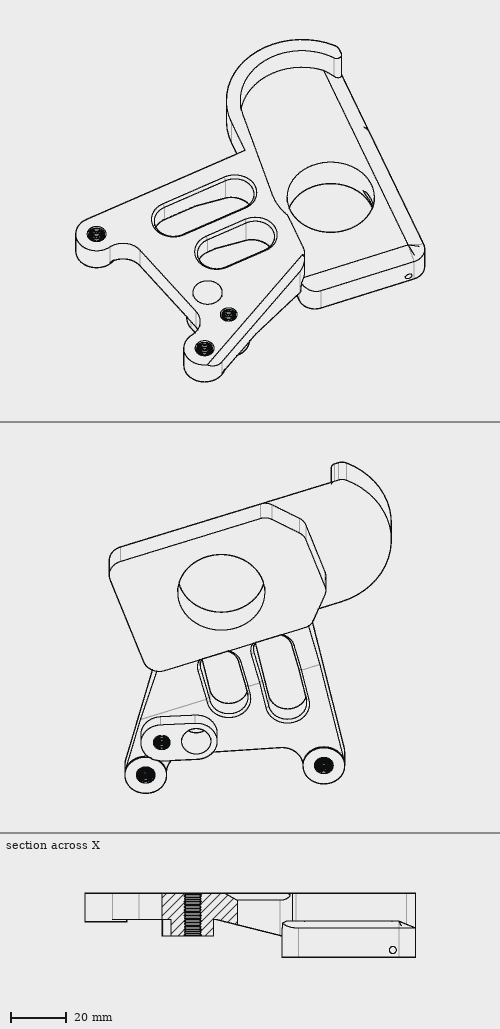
import cadquery as cq
import math

PLATE_DEPTH = 12.5
FLOOR_DEPTH = 10.0
BLOCK_DEPTH = 23.0
WEB_DEPTH = 9.5
PAD_DEPTH = 10.3
BOSS_DEPTH = 15.4

BODY_BACK = 24.1
BODY_FRONT = -23.8
BODY_RIGHT = 35.9
CORNER_RADIUS = 6.0
BORE_RADIUS = 15.6
BEVEL_START_X = BODY_RIGHT - CORNER_RADIUS
BEVEL_START_Y = BODY_BACK - CORNER_RADIUS

WALL_THICKNESS = 5.0
WALL_OUTER_RADIUS = 27.1
WALL_INNER_RADIUS = WALL_OUTER_RADIUS - WALL_THICKNESS
WALL_CENTER = (-37.2, BODY_FRONT + WALL_OUTER_RADIUS)
INNER_TIP_RADIUS = 1.8
OUTER_TIP_RADIUS = 3.8
BORE_RELIEF_RADIUS = 21.9

BLOCK_LEFT = -BODY_RIGHT
BLOCK_CUT_X = 10.1
BLOCK_CUT_Y = 11.8
BLOCK_CUT_RADIUS = 5.0
CROSS_HOLE_RADIUS = 1.3
CROSS_HOLE_Y = 16.0
CROSS_HOLE_DEPTH = 20.4
CROSS_HOLE_END_X = -7.5

ARM_ROOT = (-23.8, BODY_FRONT)
ARM_CORNER = (29.1, -20.0)
ARM_CORNER_RADIUS = 10.0
ARM_BEVEL = 2.5
SLOPE_END_Y = -47.3
PAD_RADIUS = 7.5
LEFT_PAD = (-8.3, -87.0)
RIGHT_PAD = (53.3, -69.3)
LEFT_BLEND_ANGLE = 18.0
RIGHT_BLEND_ANGLE = 196.0

SLOT_RADIUS = 6.9
SLOT_BEVEL = 1.0
SLOTS = [((-7.5, -34.0), 25.0), ((12.8, -34.0), 15.8)]

PLAIN_HOLE = (30.5, -59.3)
PLAIN_HOLE_RADIUS = 5.3
SMALL_THREAD = (42.4, -55.8)
SMALL_THREAD_RADIUS = 3.0
PAD_THREAD_RADIUS = 3.4
THREAD_HEIGHT = 0.5
THREAD_PITCH = 1.0

OVERSIZE = 125.1


def polar(center, radius, degrees):
    angle = math.radians(degrees)
    return (center[0] + radius * math.cos(angle), center[1] + radius * math.sin(angle))


def heading(start, end):
    return math.degrees(math.atan2(end[1] - start[1], end[0] - start[0]))


def touch_point(point, center, radius, side):
    """Where the line from a point touches a circle, on the left (1) or right (-1) seen from the centre."""
    spread = math.degrees(math.acos(radius / math.dist(point, center)))
    return polar(center, radius, heading(center, point) + side * spread)


def toward(center, radius, start, end):
    """Point of a circle in the middle of its shorter arc between two points."""
    middle = ((start[0] + end[0]) / 2, (start[1] + end[1]) / 2)
    return polar(center, radius, heading(center, middle))


def plan(depth):
    return cq.Workplane("XY").workplane(offset=-depth)


def cylinder(center, radius, top, bottom):
    return plan(bottom).center(*center).circle(radius).extrude(bottom - top)


def capsule(start, end, radius, top, bottom):
    """Upright prism covering a circle swept from start to end."""
    middle = ((start[0] + end[0]) / 2, (start[1] + end[1]) / 2)
    length = math.dist(start, end) + 2 * radius
    return (
        plan(bottom)
        .center(*middle)
        .slot2D(length, 2 * radius, heading(start, end))
        .extrude(bottom - top)
    )


left_touch = touch_point(ARM_ROOT, LEFT_PAD, PAD_RADIUS, 1)
right_touch = touch_point(ARM_CORNER, RIGHT_PAD, PAD_RADIUS, -1)
left_heading = heading(ARM_ROOT, left_touch)
right_heading = heading(ARM_CORNER, right_touch)


def tip_arc_center(radius, center_distance):
    """Centre of a tip rounding that touches the back face, at a given distance from the wall axis."""
    rise = BODY_BACK - radius - WALL_CENTER[1]
    return (WALL_CENTER[0] - math.sqrt(center_distance**2 - rise**2), BODY_BACK - radius)


def start_outline(depth):
    """Sketch along the outside of the wall, from its tip to where it runs into the front face."""
    tip_center = tip_arc_center(OUTER_TIP_RADIUS, WALL_OUTER_RADIUS - OUTER_TIP_RADIUS)
    tip_start = (tip_center[0], BODY_BACK)
    tip_end = polar(WALL_CENTER, WALL_OUTER_RADIUS, heading(WALL_CENTER, tip_center))
    wall_left = polar(WALL_CENTER, WALL_OUTER_RADIUS, 180)
    wall_front = polar(WALL_CENTER, WALL_OUTER_RADIUS, 270)
    return (
        plan(depth)
        .moveTo(*tip_start)
        .threePointArc(toward(tip_center, OUTER_TIP_RADIUS, tip_start, tip_end), tip_end)
        .threePointArc(wall_left, wall_front)
    )


def make_floor():
    outline = (
        start_outline(PLATE_DEPTH)
        .lineTo(BODY_RIGHT, BODY_FRONT)
        .lineTo(BODY_RIGHT, BODY_BACK)
        .close()
        .extrude(PLATE_DEPTH - FLOOR_DEPTH)
        .edges("|Z and >X")
        .edges("<Y")
        .fillet(CORNER_RADIUS)
    )
    back_bevel = (
        cq.Workplane("YZ", origin=(BEVEL_START_X, 0, 0))
        .moveTo(BODY_FRONT, -PLATE_DEPTH)
        .lineTo(BODY_BACK, -PLATE_DEPTH)
        .lineTo(BEVEL_START_Y, -FLOOR_DEPTH)
        .lineTo(BODY_FRONT, -FLOOR_DEPTH)
        .close()
        .extrude(-OVERSIZE)
    )
    right_bevel = (
        cq.Workplane("XZ", origin=(0, BEVEL_START_Y, 0))
        .moveTo(0, -PLATE_DEPTH)
        .lineTo(BODY_RIGHT, -PLATE_DEPTH)
        .lineTo(BEVEL_START_X, -FLOOR_DEPTH)
        .lineTo(0, -FLOOR_DEPTH)
        .close()
        .extrude(OVERSIZE)
    )
    corner_cone = cq.Workplane(
        cq.Solid.makeCone(
            CORNER_RADIUS,
            0,
            PLATE_DEPTH - FLOOR_DEPTH,
            cq.Vector(BEVEL_START_X, BEVEL_START_Y, -PLATE_DEPTH),
        )
    )
    return back_bevel.union(right_bevel).union(corner_cone).intersect(outline)


def make_block():
    return (
        plan(BLOCK_DEPTH)
        .moveTo(BODY_RIGHT, BODY_FRONT)
        .lineTo(BODY_RIGHT, BODY_BACK)
        .lineTo(BLOCK_LEFT + BLOCK_CUT_X, BODY_BACK)
        .lineTo(BLOCK_LEFT, BODY_BACK - BLOCK_CUT_Y)
        .lineTo(BLOCK_LEFT, BODY_FRONT + BLOCK_CUT_Y)
        .lineTo(BLOCK_LEFT + BLOCK_CUT_X, BODY_FRONT)
        .close()
        .extrude(BLOCK_DEPTH - PLATE_DEPTH)
        .edges("|Z and (not >X)")
        .fillet(BLOCK_CUT_RADIUS)
        .edges("|Z and >X")
        .fillet(CORNER_RADIUS)
    )


def make_wall_and_arm():
    """The wall and the arm share one top face; their underside follows one side profile."""
    left_blend = polar(LEFT_PAD, 2 * PAD_RADIUS, LEFT_BLEND_ANGLE)
    left_joint = polar(LEFT_PAD, PAD_RADIUS, LEFT_BLEND_ANGLE)
    right_blend = polar(RIGHT_PAD, 2 * PAD_RADIUS, RIGHT_BLEND_ANGLE)
    right_joint = polar(RIGHT_PAD, PAD_RADIUS, RIGHT_BLEND_ANGLE)
    edge_normal = heading(left_blend, right_blend) + 90
    edge_left = polar(left_blend, PAD_RADIUS, edge_normal)
    edge_right = polar(right_blend, PAD_RADIUS, edge_normal)

    trim = ARM_CORNER_RADIUS * math.tan(math.radians(-right_heading / 2))
    corner_start = polar(ARM_CORNER, trim, right_heading)
    corner_end = (ARM_CORNER[0] - trim, ARM_CORNER[1])
    corner_center = (corner_end[0], corner_end[1] - ARM_CORNER_RADIUS)

    relief_start = (math.sqrt(BORE_RELIEF_RADIUS**2 - ARM_CORNER[1] ** 2), ARM_CORNER[1])
    spread = math.acos((BORE_RELIEF_RADIUS - WALL_INNER_RADIUS) / math.hypot(*WALL_CENTER))
    touch_angle = heading((0, 0), WALL_CENTER) + math.degrees(spread)
    relief_end = polar((0, 0), BORE_RELIEF_RADIUS, touch_angle)
    inner_start = polar(WALL_CENTER, WALL_INNER_RADIUS, touch_angle)

    tip_center = tip_arc_center(INNER_TIP_RADIUS, WALL_INNER_RADIUS + INNER_TIP_RADIUS)
    tip_angle = heading(WALL_CENTER, tip_center)
    inner_end = polar(WALL_CENTER, WALL_INNER_RADIUS, tip_angle)
    inner_middle = polar(WALL_CENTER, WALL_INNER_RADIUS, (touch_angle + tip_angle) / 2)
    tip_middle = polar(tip_center, INNER_TIP_RADIUS, 0)

    outline = (
        start_outline(BOSS_DEPTH)
        .lineTo(*ARM_ROOT)
        .lineTo(*left_touch)
        .threePointArc(polar(LEFT_PAD, PAD_RADIUS, -90), left_joint)
        .threePointArc(toward(left_blend, PAD_RADIUS, left_joint, edge_left), edge_left)
        .lineTo(*edge_right)
        .threePointArc(toward(right_blend, PAD_RADIUS, edge_right, right_joint), right_joint)
        .threePointArc(polar(RIGHT_PAD, PAD_RADIUS, -90), right_touch)
        .lineTo(*corner_start)
        .threePointArc(toward(corner_center, ARM_CORNER_RADIUS, corner_start, corner_end), corner_end)
        .lineTo(*relief_start)
        .threePointArc(toward((0, 0), BORE_RELIEF_RADIUS, relief_start, relief_end), relief_end)
        .lineTo(*inner_start)
        .threePointArc(inner_middle, inner_end)
        .threePointArc(tip_middle, (tip_center[0], BODY_BACK))
        .close()
        .extrude(BOSS_DEPTH)
    )
    side_profile = (
        cq.Workplane("YZ")
        .moveTo(BODY_BACK, 0)
        .lineTo(BODY_BACK, -PLATE_DEPTH)
        .lineTo(BODY_FRONT, -PLATE_DEPTH)
        .lineTo(BODY_FRONT, -BOSS_DEPTH)
        .lineTo(SLOPE_END_Y, -WEB_DEPTH)
        .lineTo(-OVERSIZE, -WEB_DEPTH)
        .lineTo(-OVERSIZE, 0)
        .close()
        .extrude(OVERSIZE, both=True)
    )
    return outline.intersect(side_profile)


def make_edge_bevel():
    """Cutter for the bevel along the right edge of the arm."""
    return (
        cq.Workplane("YZ")
        .polyline([(0, 0), (0, -ARM_BEVEL), (-ARM_BEVEL, 0)])
        .close()
        .extrude(OVERSIZE)
        .rotate((0, 0, 0), (0, 0, 1), right_heading)
        .translate((*ARM_CORNER, 0))
    )


def cut_slots(arm):
    """Cut the slots and bevel their rims on both faces."""
    reach = SLOT_RADIUS + SLOT_BEVEL
    for start, distance in SLOTS:
        end = polar(start, distance, left_heading)
        arm = arm.cut(capsule(start, end, SLOT_RADIUS, 0, BOSS_DEPTH))
        around_slot = cq.selectors.BoxSelector(
            (start[0] - SLOT_RADIUS, end[1] - reach, -BOSS_DEPTH),
            (end[0] + SLOT_RADIUS, start[1] + reach, SLOT_BEVEL),
        )
        arm = arm.edges(around_slot).edges("not |Z").chamfer(SLOT_BEVEL)
    return arm


def thread(center, major_radius, depth):
    """Cutter for a threaded hole, with the thread as a stack of V grooves."""
    minor_radius = major_radius - THREAD_HEIGHT
    turns = math.ceil(depth / THREAD_PITCH)
    profile = cq.Workplane("XZ").moveTo(0, 0).lineTo(major_radius, 0)
    for turn in range(turns):
        profile = profile.lineTo(minor_radius, -(turn + 0.5) * THREAD_PITCH)
        profile = profile.lineTo(major_radius, -(turn + 1) * THREAD_PITCH)
    cutter = profile.lineTo(0, -turns * THREAD_PITCH).close().revolve(360, (0, 0), (0, 1))
    return cutter.translate((*center, 0))


wall_and_arm = cut_slots(make_wall_and_arm())
result = make_floor().union(make_block()).union(wall_and_arm)

for pad in (LEFT_PAD, RIGHT_PAD):
    result = result.union(cylinder(pad, PAD_RADIUS, 0, PAD_DEPTH))
result = result.union(capsule(PLAIN_HOLE, SMALL_THREAD, PAD_RADIUS, WEB_DEPTH, BOSS_DEPTH))
result = result.cut(make_edge_bevel())

result = result.cut(cylinder((0, 0), BORE_RADIUS, 0, BLOCK_DEPTH))
cross_hole = (
    cq.Workplane("YZ", origin=(CROSS_HOLE_END_X, 0, 0))
    .center(CROSS_HOLE_Y, -CROSS_HOLE_DEPTH)
    .circle(CROSS_HOLE_RADIUS)
    .extrude(BODY_RIGHT - CROSS_HOLE_END_X)
)
result = result.cut(cross_hole)

result = result.cut(cylinder(PLAIN_HOLE, PLAIN_HOLE_RADIUS, 0, BOSS_DEPTH))
result = result.cut(thread(SMALL_THREAD, SMALL_THREAD_RADIUS, BOSS_DEPTH))
for pad in (LEFT_PAD, RIGHT_PAD):
    result = result.cut(thread(pad, PAD_THREAD_RADIUS, PAD_DEPTH))